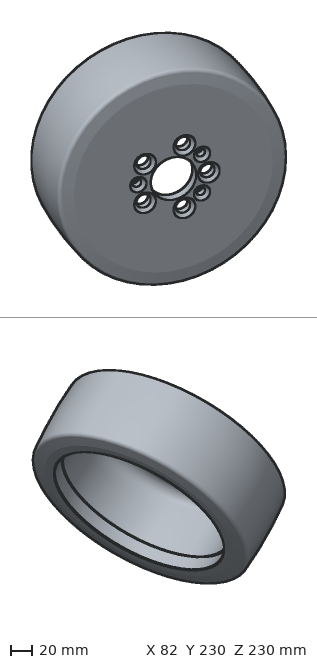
import cadquery as cq
import math

width = 82.0
outer_radius = 115.0
front_x = -width / 2
back_x = width / 2

tread_edge_radius = 113.5
tread_half_width = 36.0
shoulder_radius = 109.3
shoulder_half_width = 39.7
shoulder_bulge = 1.1
sidewall_flat_radius = 98.6

mouth_radius = 88.5
mouth_chamfer = 0.7
ledge_x = -26.0
ledge_inner_radius = 87.2
waist_radius = 85.4
wall_end_x = 24.0
wall_end_radius = 86.5
web_x = 34.5
web_outer_radius = 75.1

hub_radius = 47.5
hub_foot_radius = 56.0
hub_x = 29.0

bore_radius = 22.5
bore_chamfer = 1.0
bolt_circle_radius = 35.0
bolt_hole_diameter = 14.0
bolt_hole_count = 5
pin_hole_diameter = 8.5
pin_hole_angles = (36, 180, 324)
hole_back_chamfer = 3.8


def chord_bulge(start, end, sag):
    """Midpoint of an arc that rises `sag` to the left of the chord start-end."""
    dx = end[0] - start[0]
    dy = end[1] - start[1]
    length = math.hypot(dx, dy)
    return (
        (start[0] + end[0]) / 2 - sag * dy / length,
        (start[1] + end[1]) / 2 + sag * dx / length,
    )


def face_tangent_middle(foot, end):
    """Midpoint of an arc from `foot`, tangent there to a face across X, that curls towards -X to `end`."""
    rise = foot[0] - end[0]
    run = end[1] - foot[1]
    radius = (rise**2 + run**2) / (2 * rise)
    half_turn = math.atan2(rise, abs(run))
    return (
        foot[0] - radius * (1 - math.cos(half_turn)),
        foot[1] + math.copysign(radius * math.sin(half_turn), run),
    )


def revolve_about_x(profile):
    return profile.close().revolve(360, (0, 0, 0), (1, 0, 0))


def make_blank():
    """Solid wheel: flat sides, rounded shoulders and crowned tread."""
    front_shoulder = (-shoulder_half_width, shoulder_radius)
    front_edge = (-tread_half_width, tread_edge_radius)
    back_edge = (tread_half_width, tread_edge_radius)
    back_shoulder = (shoulder_half_width, shoulder_radius)
    profile = (
        cq.Workplane("XY")
        .moveTo(front_x, 0)
        .lineTo(front_x, sidewall_flat_radius)
        .lineTo(*front_shoulder)
        .threePointArc(chord_bulge(front_shoulder, front_edge, shoulder_bulge), front_edge)
        .threePointArc((0, outer_radius), back_edge)
        .threePointArc(chord_bulge(back_edge, back_shoulder, shoulder_bulge), back_shoulder)
        .lineTo(back_x, sidewall_flat_radius)
        .lineTo(back_x, 0)
    )
    return revolve_about_x(profile)


def make_cavity():
    """Hollow with a chamfered mouth, a small ledge, a gently waisted wall and the hub left standing."""
    wall_middle = ((ledge_x + wall_end_x) / 2, waist_radius)
    wall_end = (wall_end_x, wall_end_radius)
    web_edge = (web_x, web_outer_radius)
    hub_foot = (web_x, hub_foot_radius)
    hub_edge = (hub_x, hub_radius)
    profile = (
        cq.Workplane("XY")
        .moveTo(front_x, 0)
        .lineTo(front_x, mouth_radius + mouth_chamfer)
        .lineTo(front_x + mouth_chamfer, mouth_radius)
        .lineTo(ledge_x, mouth_radius)
        .lineTo(ledge_x, ledge_inner_radius)
        .threePointArc(wall_middle, wall_end)
        .threePointArc(face_tangent_middle(web_edge, wall_end), web_edge)
        .lineTo(*hub_foot)
        .threePointArc(face_tangent_middle(hub_foot, hub_edge), hub_edge)
        .lineTo(hub_x, 0)
    )
    return revolve_about_x(profile)


def make_bore():
    """Central bore with a chamfered front edge."""
    profile = (
        cq.Workplane("XY")
        .moveTo(hub_x, 0)
        .lineTo(hub_x, bore_radius + bore_chamfer)
        .lineTo(hub_x + bore_chamfer, bore_radius)
        .lineTo(back_x, bore_radius)
        .lineTo(back_x, 0)
    )
    return revolve_about_x(profile)


def make_holes(diameter, angles):
    """Through holes on the bolt circle, flared at the back; angles run from +Y towards +Z."""
    radius = diameter / 2
    hole = revolve_about_x(
        cq.Workplane("XY")
        .lineTo(0, radius)
        .lineTo(back_x - hole_back_chamfer, radius)
        .lineTo(back_x, radius + hole_back_chamfer)
        .lineTo(back_x, 0)
    )
    holes = cq.Workplane("XY")
    for angle in angles:
        y = bolt_circle_radius * math.cos(math.radians(angle))
        z = bolt_circle_radius * math.sin(math.radians(angle))
        holes = holes.add(hole.translate((0, y, z)))
    return holes.combine()


bolt_hole_angles = [360 / bolt_hole_count * index for index in range(bolt_hole_count)]

result = (
    make_blank()
    .cut(make_cavity())
    .cut(make_bore())
    .cut(make_holes(bolt_hole_diameter, bolt_hole_angles))
    .cut(make_holes(pin_hole_diameter, pin_hole_angles))
)